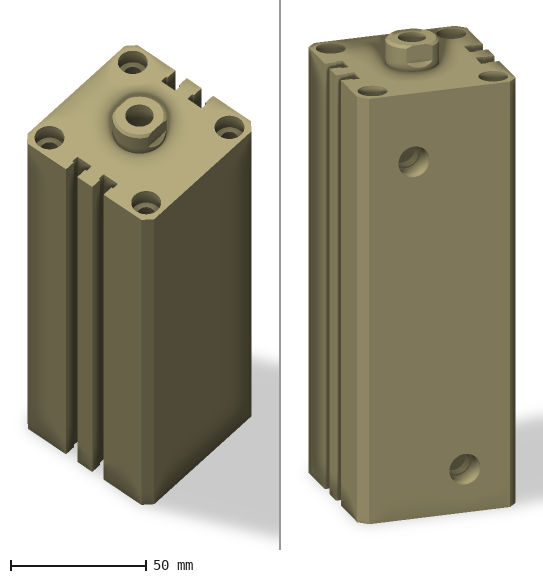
import cadquery as cq

TOTAL_HEIGHT = 178.0
ROD_PROTRUSION = 10.0
HOUSING_WIDTH = 62.0
HOUSING_HEIGHT = TOTAL_HEIGHT - ROD_PROTRUSION
CORNER_CHAMFER = 3.4

MOUNT_SPACING = 47.2
MOUNT_DIAMETER = 6.5
COUNTERBORE_DIAMETER = 11.0
COUNTERBORE_DEPTH = 6.8

SLOT_SPACING = 12.8
SLOT_MOUTH_WIDTH = 5.5
SLOT_INNER_WIDTH = 7.0
SLOT_LIP_DEPTH = 4.5
SLOT_DEPTH = 7.3

PORT_OFFSET = 10.0
UPPER_PORT_BELOW_TOP = 27.0
LOWER_PORT_HEIGHT = 17.0
PORT_DIAMETER = 10.9
PORT_MOUTH_DIAMETER = 12.1
PORT_MOUTH_DEPTH = 10.0
PORT_DEPTH = 14.2

ROD_DIAMETER = 20.0
ROD_SOCKET_DEPTH = ROD_DIAMETER
ROD_CHAMFER = 1.0
FLATS_WIDTH = 17.0
FLATS_HEIGHT = 6.8
FLATS_RUNOUT = 1.8
ROD_HOLE_DIAMETER = 10.5
ROD_HOLE_DEPTH = 14.2
ROD_HOLE_TIP_DEPTH = 3.2


def t_slot(x_center, side):
    """T-slot cutter over the full housing height; side is +1 for +Y and -1 for -Y."""
    face_y = side * HOUSING_WIDTH / 2
    floor_y = face_y - side * SLOT_DEPTH
    lip_y = face_y - side * SLOT_LIP_DEPTH
    mouth = SLOT_MOUTH_WIDTH / 2
    inner = SLOT_INNER_WIDTH / 2
    outline = [
        (x_center - mouth, face_y),
        (x_center - mouth, lip_y),
        (x_center - inner, lip_y),
        (x_center - inner, floor_y),
        (x_center + inner, floor_y),
        (x_center + inner, lip_y),
        (x_center + mouth, lip_y),
        (x_center + mouth, face_y),
    ]
    return cq.Workplane("XY").polyline(outline).close().extrude(HOUSING_HEIGHT)


def port(y_center, z_center):
    """Blind port cutter with a wider mouth, running from the -X side toward +X."""
    port_plane = cq.Workplane("YZ", origin=(-HOUSING_WIDTH / 2, y_center, z_center))
    bore = port_plane.circle(PORT_DIAMETER / 2).extrude(PORT_DEPTH)
    mouth = port_plane.circle(PORT_MOUTH_DIAMETER / 2).extrude(PORT_MOUTH_DEPTH)
    return bore.union(mouth)


def make_housing():
    housing = (
        cq.Workplane("XY")
        .rect(HOUSING_WIDTH, HOUSING_WIDTH)
        .extrude(HOUSING_HEIGHT)
        .edges("|Z")
        .chamfer(CORNER_CHAMFER)
    )

    housing = (
        housing.faces(">Z")
        .workplane(origin=(0, 0, HOUSING_HEIGHT))
        .rect(MOUNT_SPACING, MOUNT_SPACING, forConstruction=True)
        .vertices()
        .cboreHole(MOUNT_DIAMETER, COUNTERBORE_DIAMETER, COUNTERBORE_DEPTH)
    )

    for side in (-1, 1):
        for x_center in (-SLOT_SPACING / 2, SLOT_SPACING / 2):
            housing = housing.cut(t_slot(x_center, side))

    housing = housing.cut(port(PORT_OFFSET, HOUSING_HEIGHT - UPPER_PORT_BELOW_TOP))
    housing = housing.cut(port(-PORT_OFFSET, LOWER_PORT_HEIGHT))

    socket = (
        cq.Workplane("XY", origin=(0, 0, HOUSING_HEIGHT - ROD_SOCKET_DEPTH))
        .circle(ROD_DIAMETER / 2)
        .extrude(ROD_SOCKET_DEPTH)
    )
    return housing.cut(socket)


def wrench_flat(side):
    """Cutter for one wrench flat with a sloped run-out; side is +1 for +X and -1 for -X."""
    flat_x = side * FLATS_WIDTH / 2
    rod_x = side * ROD_DIAMETER / 2
    flat_bottom = TOTAL_HEIGHT - FLATS_HEIGHT
    outline = [
        (flat_x, TOTAL_HEIGHT),
        (flat_x, flat_bottom),
        (rod_x, flat_bottom - FLATS_RUNOUT),
        (rod_x, TOTAL_HEIGHT),
    ]
    return cq.Workplane("XZ").polyline(outline).close().extrude(ROD_DIAMETER / 2, both=True)


def rod_hole():
    """Cutter for the drilled hole with a conical tip in the rod end."""
    radius = ROD_HOLE_DIAMETER / 2
    floor_z = TOTAL_HEIGHT - ROD_HOLE_DEPTH
    profile = [
        (0, TOTAL_HEIGHT),
        (radius, TOTAL_HEIGHT),
        (radius, floor_z),
        (0, floor_z - ROD_HOLE_TIP_DEPTH),
    ]
    return cq.Workplane("XZ").polyline(profile).close().revolve(360, (0, 0, 0), (0, 1, 0))


def make_rod():
    rod = (
        cq.Workplane("XY", origin=(0, 0, HOUSING_HEIGHT - ROD_SOCKET_DEPTH))
        .circle(ROD_DIAMETER / 2)
        .extrude(ROD_SOCKET_DEPTH + ROD_PROTRUSION)
        .faces(">Z")
        .chamfer(ROD_CHAMFER)
    )
    for side in (-1, 1):
        rod = rod.cut(wrench_flat(side))
    return rod.cut(rod_hole())


housing = make_housing()
rod = make_rod()
result = cq.Compound.makeCompound([housing.val(), rod.val()])